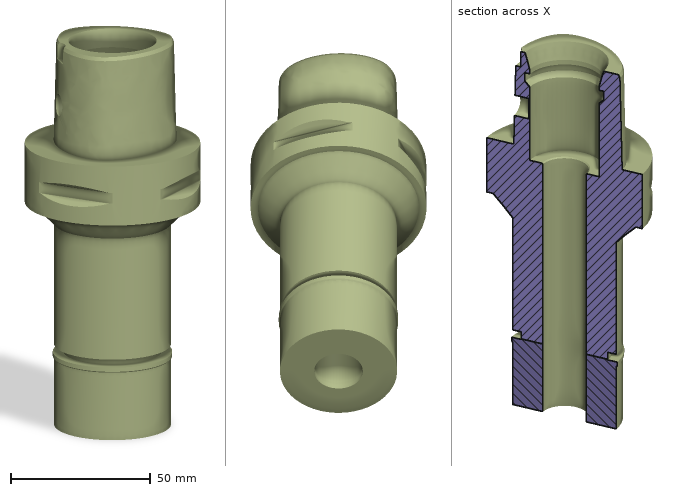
import cadquery as cq
import math

total_height = 143.0
shank_height = 37.9
flange_height = 22.0
cone_height = 7.9
nut_height = 27.2
neck_height = 2.9
flange_bottom = total_height - shank_height - flange_height
cone_bottom = flange_bottom - cone_height
body_bottom = nut_height + neck_height

flange_radius = 63.0 / 2
body_radius = 21.0
cone_top_radius = body_radius + cone_height
neck_radius = 17.6

shank_base_radius = 22.0
taper_per_radius = 1 / 40
lobe_size = 1.5
shank_chamfer_height = 1.3
shank_chamfer_width = 0.65
outline_points = 48

through_radius = 8.7
through_chamfer = 0.5
bore_radius = 14.0
bore_mouth_radius = 15.9
mouth_depth = 6.5
recess_radius = 15.9
recess_top_depth = 8.3
recess_bottom_depth = 11.6
bore_depth = 42.9

notch_radius = 4.6
notch_depth = 6.1
notch_center_y = -22.3
blind_hole_radius = 4.0
blind_hole_floor_y = -14.6
blind_hole_depth = 22.3

slot_count = 4
slot_first_angle = 45
slot_z = 93.2
slot_floor_distance = 27.7
slot_bevel_distance = 28.3
slot_floor_height = 4.0
slot_mouth_height = 7.9
slot_length = 2 * flange_radius

collar_radius = 21.5
collar_height = 2.0
collar_chamfer = collar_radius - body_radius


def lobed_wire(radius, z):
    """Closed outline of constant width 2 * radius, with one lobe pointing to +Y."""
    points = []
    for index in range(outline_points):
        turn = 2 * math.pi * index / outline_points
        reach = radius + lobe_size * math.cos(3 * turn)
        slope = -3 * lobe_size * math.sin(3 * turn)
        along = reach * math.cos(turn) - slope * math.sin(turn)
        across = reach * math.sin(turn) + slope * math.cos(turn)
        points.append(cq.Vector(-across, along, z))
    return cq.Wire.assembleEdges([cq.Edge.makeSpline(points, periodic=True)])


def make_shank():
    """Tapered shank with a chamfered top edge."""
    base_z = flange_bottom + flange_height
    chamfer_z = total_height - shank_chamfer_height
    chamfer_radius = shank_base_radius - (chamfer_z - base_z) * taper_per_radius
    base = lobed_wire(shank_base_radius, base_z)
    chamfer_start = lobed_wire(chamfer_radius, chamfer_z)
    top = lobed_wire(chamfer_radius - shank_chamfer_width, total_height)
    taper = cq.Solid.makeLoft([base, chamfer_start], True)
    chamfer = cq.Solid.makeLoft([chamfer_start, top], True)
    return cq.Workplane(taper).union(cq.Workplane(chamfer))


def revolve_profile(points):
    """Turn an outline of (radius, height) points about the Z axis."""
    return cq.Workplane("XZ").polyline(points).close().revolve(360, (0, 0), (0, 1))


def make_turned_body():
    """Flange, cone, cylindrical body and neck."""
    flange_top = flange_bottom + flange_height
    return revolve_profile([
        (0, nut_height),
        (neck_radius, nut_height),
        (neck_radius, body_bottom),
        (body_radius, body_bottom),
        (body_radius, cone_bottom),
        (cone_top_radius, flange_bottom),
        (flange_radius, flange_bottom),
        (flange_radius, flange_top),
        (0, flange_top),
    ])


def make_bore():
    """Stepped bore: conical mouth, recess, main bore and through hole."""
    mouth_z = total_height - mouth_depth
    recess_top_z = total_height - recess_top_depth
    recess_bottom_z = total_height - recess_bottom_depth
    floor_z = total_height - bore_depth
    return revolve_profile([
        (0, nut_height),
        (through_radius, nut_height),
        (through_radius, floor_z - through_chamfer),
        (through_radius + through_chamfer, floor_z),
        (bore_radius, floor_z),
        (bore_radius, recess_bottom_z - (recess_radius - bore_radius)),
        (recess_radius, recess_bottom_z),
        (recess_radius, recess_top_z),
        (bore_radius, recess_top_z),
        (bore_radius, mouth_z),
        (bore_mouth_radius, total_height),
        (0, total_height),
    ])


def make_key_notch():
    """Round-backed notch in the top edge of the shank."""
    return (
        cq.Workplane("XY", origin=(0, notch_center_y, total_height - notch_depth))
        .circle(notch_radius)
        .extrude(notch_depth)
    )


def make_blind_hole():
    """Flat-bottomed blind hole from the -Y side of the shank."""
    return (
        cq.Workplane("XZ", origin=(0, blind_hole_floor_y, total_height - blind_hole_depth))
        .circle(blind_hole_radius)
        .extrude(flange_radius)
    )


def make_gripper_slot(angle):
    """Straight slot with a flat floor, square side walls and bevelled edges."""
    floor_half = slot_floor_height / 2
    mouth_half = slot_mouth_height / 2
    return (
        cq.Workplane("XZ", origin=(0, slot_length / 2, slot_z))
        .polyline([
            (slot_floor_distance, -floor_half),
            (slot_bevel_distance, -floor_half),
            (flange_radius, -mouth_half),
            (flange_radius, mouth_half),
            (slot_bevel_distance, floor_half),
            (slot_floor_distance, floor_half),
        ])
        .close()
        .extrude(slot_length)
        .rotate((0, 0, 0), (0, 0, 1), angle)
    )


def make_holder():
    """Tool holder with shank, flange and body."""
    holder = make_turned_body().union(make_shank())
    holder = holder.cut(make_bore()).cut(make_key_notch()).cut(make_blind_hole())
    for index in range(slot_count):
        angle = slot_first_angle + index * 360 / slot_count
        holder = holder.cut(make_gripper_slot(angle))
    return holder


def make_nut():
    """Clamping nut with a collar at its upper end."""
    collar_bottom = nut_height - collar_height
    return revolve_profile([
        (through_radius, 0),
        (body_radius, 0),
        (body_radius, collar_bottom),
        (collar_radius, collar_bottom + collar_chamfer),
        (collar_radius, nut_height),
        (through_radius, nut_height),
    ])


holder = make_holder()
nut = make_nut()
result = cq.Compound.makeCompound([holder.val(), nut.val()])